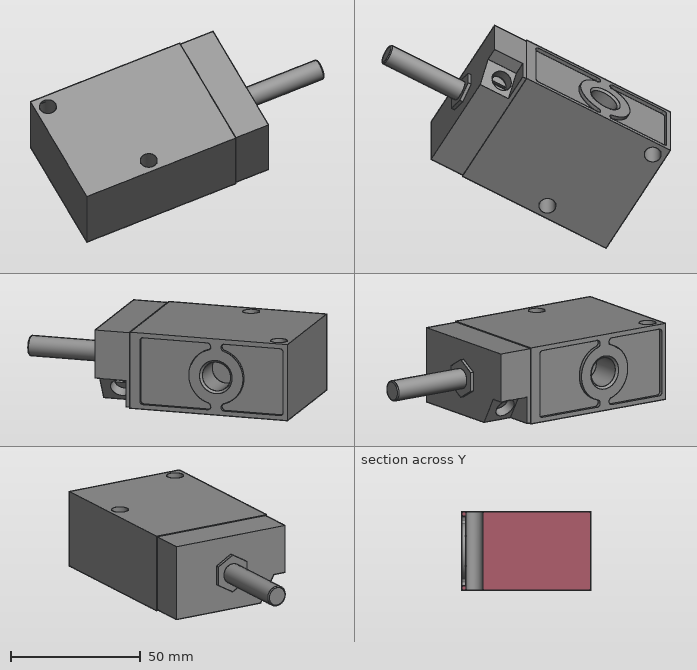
import cadquery as cq
import math

body_width = 50.0
body_length = 64.0
body_height = 30.4

cap_inset = 0.3
cap_length = 14.1
cap_width = body_width - 2 * cap_inset
cap_height = body_height - 2 * cap_inset
cap_back = body_length + cap_length

nut_across_flats = 13.0
nut_thickness = 1.3
cable_diameter = 8.0
cable_end_chamfer = 0.5
overall_length = 112

mount_hole_diameter = 6.5
mount_hole_x = 19.9
mount_hole_front_y = 5.0
mount_hole_spacing_y = 24.0

port_y = mount_hole_front_y + mount_hole_spacing_y
port_diameter = 11.4
port_mouth_diameter = 13.2
port_depth = 13.4

recess_depth = 1.5
recess_front_y = 1.8
recess_back_y = 59.8
recess_height = 26.7
recess_corner_radius = 1.3
port_rim_diameter = 22.0
rib_width = 4.3

ledge_depth = 5.0
slant_angle = 30
slant_height = 10.5
slant_length = 12.5
screw_hole_diameter = 8.2
screw_hole_depth = 4.7
screw_from_back = 7.8
screw_below_slant_top = 5.3
screw_head_diameter = 7.0
screw_head_height = 1.1
screw_slot_width = 1.1

left = -body_width / 2
cap_left = -cap_width / 2
slant_top_x = cap_left + ledge_depth
slant_top_z = slant_height - cap_height / 2


def cross_section_plane(y):
    """Work plane at the given Y; extruding from it goes forward, toward -Y."""
    return cq.Workplane("XZ", origin=(0, y, 0))


def make_body():
    body = cq.Workplane("XY").box(body_width, body_length, body_height, centered=(True, False, True))
    holes = [
        (-mount_hole_x, mount_hole_front_y),
        (mount_hole_x, mount_hole_front_y + mount_hole_spacing_y),
    ]
    drill = (
        cq.Workplane("XY", origin=(0, 0, -body_height / 2))
        .pushPoints(holes)
        .circle(mount_hole_diameter / 2)
        .extrude(body_height)
    )
    return body.cut(drill)


def make_port():
    bore = cq.Workplane("YZ", origin=(left, port_y, 0)).circle(port_diameter / 2).extrude(port_depth)
    mouth_depth = (port_mouth_diameter - port_diameter) / 2
    mouth = cq.Solid.makeCone(
        port_mouth_diameter / 2,
        port_diameter / 2,
        mouth_depth,
        cq.Vector(left, port_y, 0),
        cq.Vector(1, 0, 0),
    )
    return bore.union(cq.Workplane(mouth))


def make_recess(start_y, end_y):
    """Rounded rectangle with the round rim of the port left standing."""
    block = (
        cq.Workplane("YZ", origin=(left, (start_y + end_y) / 2, 0))
        .rect(end_y - start_y, recess_height)
        .extrude(recess_depth)
    )
    rim = cq.Workplane("YZ", origin=(left, port_y, 0)).circle(port_rim_diameter / 2).extrude(recess_depth)
    return block.cut(rim).edges("|X").fillet(recess_corner_radius)


def make_cap():
    cap = (
        cq.Workplane("XY", origin=(0, body_length, 0))
        .box(cap_width, cap_length, cap_height, centered=(True, False, True))
    )
    slant_run = slant_height * math.tan(math.radians(slant_angle))
    notch = (
        cross_section_plane(cap_back)
        .moveTo(cap_left, slant_top_z)
        .lineTo(cap_left, -cap_height / 2)
        .lineTo(slant_top_x + slant_run, -cap_height / 2)
        .lineTo(slant_top_x, slant_top_z)
        .close()
        .extrude(slant_length)
    )
    return cap.cut(notch).cut(make_screw_hole())


def make_screw_hole():
    """Hole square to the slanted wall, with a slotted screw head standing on its floor."""
    tilt = math.radians(slant_angle)
    mouth_center = (
        slant_top_x + screw_below_slant_top * math.tan(tilt),
        cap_back - screw_from_back,
        slant_top_z - screw_below_slant_top,
    )
    slant_plane = cq.Plane(
        origin=mouth_center,
        xDir=(0, 1, 0),
        normal=(math.cos(tilt), 0, math.sin(tilt)),
    )
    face = cq.Workplane(slant_plane)
    hole = face.circle(screw_hole_diameter / 2).extrude(screw_hole_depth)
    head_plane = face.workplane(offset=screw_hole_depth - screw_head_height)
    head = head_plane.circle(screw_head_diameter / 2).extrude(screw_head_height)
    slot = head_plane.rect(screw_hole_diameter, screw_slot_width).extrude(screw_head_height)
    return hole.cut(head.cut(slot))


def make_nut():
    return (
        cross_section_plane(cap_back + nut_thickness)
        .polygon(6, nut_across_flats / math.cos(math.pi / 6))
        .extrude(nut_thickness)
        .rotate((0, 0, 0), (0, 1, 0), 90)
    )


def make_cable():
    return (
        cross_section_plane(overall_length)
        .circle(cable_diameter / 2)
        .extrude(overall_length - cap_back)
        .faces(">Y")
        .chamfer(cable_end_chamfer)
    )


body = make_body().cut(make_port())
body = body.cut(make_recess(recess_front_y, port_y - rib_width / 2))
body = body.cut(make_recess(port_y + rib_width / 2, recess_back_y))
result = body.union(make_cap()).union(make_nut()).union(make_cable())